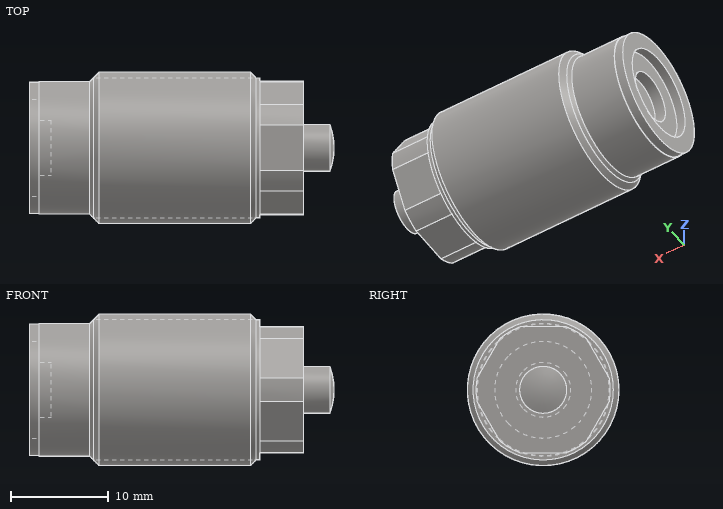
import cadquery as cq
import math

TOTAL_LENGTH = 31.35

SLEEVE_RADIUS = 7.8
BORE_RADIUS = 7.2
SLEEVE_START = 6.58
SLEEVE_END = 23.32

LIP_RADIUS = 6.77
LIP_LENGTH = 1.0
NECK_RADIUS = 6.83
CORE_END = 23.7

OUTER_RECESS_RADIUS = 4.98
OUTER_RECESS_DEPTH = 1.0
INNER_RECESS_RADIUS = 2.82
INNER_RECESS_DEPTH = 1.25
INNER_RECESS_BOTTOM = OUTER_RECESS_DEPTH + INNER_RECESS_DEPTH

HEX_ACROSS_FLATS = 12.97
HEX_CORNER_RADIUS = 6.9
HEX_END = 28.2

PIN_RADIUS = 2.4
PIN_SHOULDER = 30.9

SLEEVE_CHAMFER = SLEEVE_RADIUS - BORE_RADIUS
NECK_END = SLEEVE_START - (BORE_RADIUS - NECK_RADIUS)


def cylinder(start, end, radius):
    """Cylinder along X between two stations."""
    return cq.Workplane("YZ", origin=(start, 0, 0)).circle(radius).extrude(end - start)


def revolve_about_x(outline):
    """Turn a closed outline of X and radius about the X axis."""
    return outline.revolve(360, (0, 0, 0), (1, 0, 0))


def make_sleeve():
    outline = (
        cq.Workplane("XY")
        .moveTo(SLEEVE_START, BORE_RADIUS)
        .lineTo(SLEEVE_START + SLEEVE_CHAMFER, SLEEVE_RADIUS)
        .lineTo(SLEEVE_END - SLEEVE_CHAMFER, SLEEVE_RADIUS)
        .lineTo(SLEEVE_END, BORE_RADIUS)
        .close()
    )
    return revolve_about_x(outline)


def make_turned_core():
    outline = (
        cq.Workplane("XY")
        .moveTo(0, 0)
        .lineTo(0, LIP_RADIUS)
        .lineTo(LIP_LENGTH, LIP_RADIUS)
        .lineTo(LIP_LENGTH, NECK_RADIUS)
        .lineTo(NECK_END, NECK_RADIUS)
        .lineTo(SLEEVE_START, BORE_RADIUS)
        .lineTo(CORE_END, BORE_RADIUS)
        .lineTo(CORE_END, 0)
        .close()
    )
    return revolve_about_x(outline)


def make_hexagon():
    """Hexagon with flats facing up and down, its corners turned round."""
    corner_to_corner = HEX_ACROSS_FLATS / math.cos(math.pi / 6)
    prism = (
        cq.Workplane("YZ", origin=(CORE_END, 0, 0))
        .polygon(6, corner_to_corner)
        .extrude(HEX_END - CORE_END)
    )
    return prism.intersect(cylinder(CORE_END, HEX_END, HEX_CORNER_RADIUS))


def make_pin():
    """Pin with a shallow spherical dome on its free end."""
    dome_height = TOTAL_LENGTH - PIN_SHOULDER
    dome_radius = (PIN_RADIUS**2 + dome_height**2) / (2 * dome_height)
    half_angle = math.asin(PIN_RADIUS / dome_radius) / 2
    arc_middle = (
        TOTAL_LENGTH - dome_radius * (1 - math.cos(half_angle)),
        dome_radius * math.sin(half_angle),
    )
    outline = (
        cq.Workplane("XY")
        .moveTo(HEX_END, 0)
        .lineTo(HEX_END, PIN_RADIUS)
        .lineTo(PIN_SHOULDER, PIN_RADIUS)
        .threePointArc(arc_middle, (TOTAL_LENGTH, 0))
        .close()
    )
    return revolve_about_x(outline)


def make_core():
    core = make_turned_core().union(make_hexagon()).union(make_pin())
    core = core.cut(cylinder(0, OUTER_RECESS_DEPTH, OUTER_RECESS_RADIUS))
    return core.cut(cylinder(0, INNER_RECESS_BOTTOM, INNER_RECESS_RADIUS))


sleeve = make_sleeve()
core = make_core()

result = cq.Compound.makeCompound([sleeve.val(), core.val()])